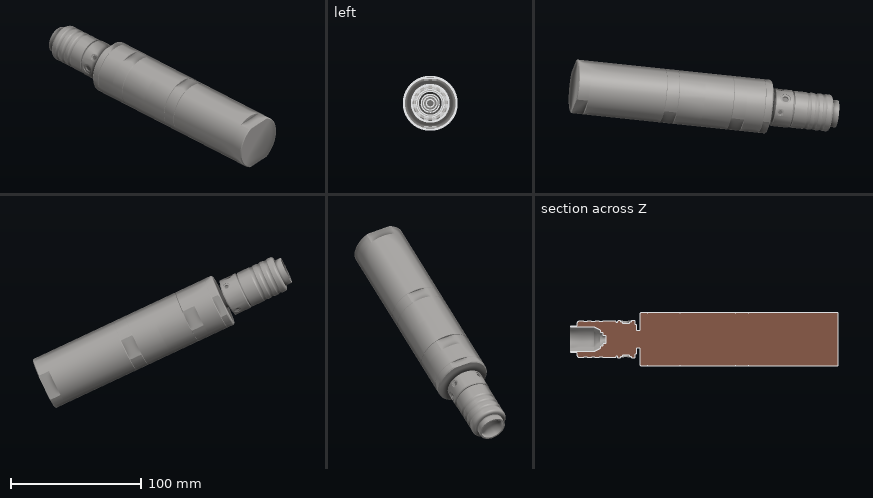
import cadquery as cq
import math

TOTAL_LENGTH = 206.2

SPIGOT_DIAMETER = 21.0
SLEEVE_START = 5.2
SLEEVE_END = 35.3
SLEEVE_DIAMETER = 28.5
SLEEVE_FILLET = 2.0
RELIEF_DIAMETER = 26.0

GROOVE_COUNT = 3
GROOVE_FIRST_CENTER = 11.8
GROOVE_PITCH = 6.0
GROOVE_WIDTH = 3.3
GROOVE_BOTTOM_DIAMETER = 27.5

COLLAR_START = 36.3
COLLAR_END = 50.1
COLLAR_DIAMETER = 29.0
COLLAR_CHAMFER = 0.6
DISC_END = 51.1
DISC_DIAMETER = 23.0
NECK_DIAMETER = 14.0
NECK_STEP = 52.4
NECK_REAR_DIAMETER = 13.8

SIDE_SCREW_X = 42.9
SIDE_SCREW_DIAMETER = 8.2
SIDE_SOCKET_DIAMETER = 5.0
CORNER_SCREW_X = 46.2
CORNER_SCREW_DIAMETER = 5.5
CORNER_SOCKET_DIAMETER = 3.3
SCREW_RECESS_DEPTH = 0.5
SOCKET_DEPTH = 1.2

BORE_DIAMETER = 18.4
BORE_DEPTH = 18.5
CONE_END_DIAMETER = 13.8
CONE_LENGTH = BORE_DIAMETER - CONE_END_DIAMETER
SOCKET_STEPS = [(10.3, 2.0), (5.8, 4.1)]

BODY_DIAMETER = 41.5
BODY_START = 53.6
FIRST_BARREL_START = 59.4
SECOND_FLATS_START = 74.2
SECOND_BARREL_START = 84.5
BARREL_JOINT = 107.0
THIRD_FLATS_START = 127.0
LAST_BARREL_START = 137.0
END_FLATS_START = 197.1
ACROSS_FLATS = 38.0
ACROSS_END_FLATS = 35.9
FRONT_CHAMFER = 0.8
REAR_CHAMFER = 0.6
SECTION_CHAMFER = 0.5


def cylinder(start, end, diameter):
    """Solid cylinder on the X axis."""
    return cq.Workplane("YZ", origin=(start, 0, 0)).circle(diameter / 2).extrude(end - start)


def body_section(start, end, start_chamfer=0, end_chamfer=0, across_flats=None):
    """Body cylinder with optional end chamfers and a pair of flats facing +Z and -Z."""
    section = cylinder(start, end, BODY_DIAMETER)
    if start_chamfer:
        section = section.faces("<X").chamfer(start_chamfer)
    if end_chamfer:
        section = section.faces(">X").chamfer(end_chamfer)
    if across_flats:
        slab = cq.Workplane("XY").box(TOTAL_LENGTH, BODY_DIAMETER, across_flats)
        section = section.intersect(slab.translate((TOTAL_LENGTH / 2, 0, 0)))
    return section


def grip_groove(center):
    """Ring with an arc profile, to be cut from the sleeve."""
    rim = SLEEVE_DIAMETER / 2
    return (
        cq.Workplane("XY")
        .moveTo(center - GROOVE_WIDTH / 2, rim)
        .threePointArc((center, GROOVE_BOTTOM_DIAMETER / 2), (center + GROOVE_WIDTH / 2, rim))
        .close()
        .revolve(360, (0, 0, 0), (1, 0, 0))
    )


def gripping_sleeve():
    sleeve = cylinder(SLEEVE_START, SLEEVE_END, SLEEVE_DIAMETER)
    sleeve = sleeve.faces("<X").edges().fillet(SLEEVE_FILLET)
    for index in range(GROOVE_COUNT):
        sleeve = sleeve.cut(grip_groove(GROOVE_FIRST_CENTER + index * GROOVE_PITCH))
    return sleeve


def screw_recess(x, angle, diameter, socket_diameter):
    """Stepped radial hole into the collar; the angle turns from +Y towards +Z."""
    rim = COLLAR_DIAMETER / 2
    lowest_rim = math.sqrt(rim**2 - (diameter / 2) ** 2)
    floor = lowest_rim - SCREW_RECESS_DEPTH
    recess = cq.Workplane("XZ", origin=(x, floor, 0)).circle(diameter / 2).extrude(floor - rim)
    socket = (
        cq.Workplane("XZ", origin=(x, floor, 0)).circle(socket_diameter / 2).extrude(SOCKET_DEPTH)
    )
    return recess.union(socket).rotate((0, 0, 0), (1, 0, 0), angle)


def collar():
    ring = cylinder(COLLAR_START, COLLAR_END, COLLAR_DIAMETER)
    ring = ring.faces("<X").chamfer(COLLAR_CHAMFER)
    for angle in (0, 180):
        ring = ring.cut(screw_recess(SIDE_SCREW_X, angle, SIDE_SCREW_DIAMETER, SIDE_SOCKET_DIAMETER))
    for angle in (45, 135, 225, 315):
        ring = ring.cut(
            screw_recess(CORNER_SCREW_X, angle, CORNER_SCREW_DIAMETER, CORNER_SOCKET_DIAMETER)
        )
    return ring


def bore():
    cone_end = BORE_DEPTH + CONE_LENGTH
    cutter = cylinder(0, BORE_DEPTH, BORE_DIAMETER)
    cone = (
        cq.Workplane("YZ", origin=(BORE_DEPTH, 0, 0))
        .circle(BORE_DIAMETER / 2)
        .workplane(offset=CONE_LENGTH)
        .circle(CONE_END_DIAMETER / 2)
        .loft()
    )
    cutter = cutter.union(cone)
    for diameter, depth in SOCKET_STEPS:
        cutter = cutter.union(cylinder(BORE_DEPTH, cone_end + depth, diameter))
    return cutter


sections = [
    cylinder(0, SLEEVE_START, SPIGOT_DIAMETER),
    gripping_sleeve(),
    cylinder(SLEEVE_END, COLLAR_START, RELIEF_DIAMETER),
    collar(),
    cylinder(COLLAR_END, DISC_END, DISC_DIAMETER),
    cylinder(DISC_END, NECK_STEP, NECK_DIAMETER),
    cylinder(NECK_STEP, BODY_START, NECK_REAR_DIAMETER),
    body_section(BODY_START, FIRST_BARREL_START, start_chamfer=FRONT_CHAMFER, across_flats=ACROSS_FLATS),
    body_section(FIRST_BARREL_START, SECOND_FLATS_START, start_chamfer=SECTION_CHAMFER),
    body_section(
        SECOND_FLATS_START, SECOND_BARREL_START, end_chamfer=SECTION_CHAMFER, across_flats=ACROSS_FLATS
    ),
    body_section(SECOND_BARREL_START, BARREL_JOINT),
    body_section(BARREL_JOINT, THIRD_FLATS_START),
    body_section(
        THIRD_FLATS_START, LAST_BARREL_START, start_chamfer=SECTION_CHAMFER, across_flats=ACROSS_FLATS
    ),
    body_section(LAST_BARREL_START, END_FLATS_START, start_chamfer=SECTION_CHAMFER),
    body_section(END_FLATS_START, TOTAL_LENGTH, end_chamfer=REAR_CHAMFER, across_flats=ACROSS_END_FLATS),
]

result = sections[0]
for section in sections[1:]:
    result = result.union(section, clean=False)
result = result.cut(bore(), clean=False)